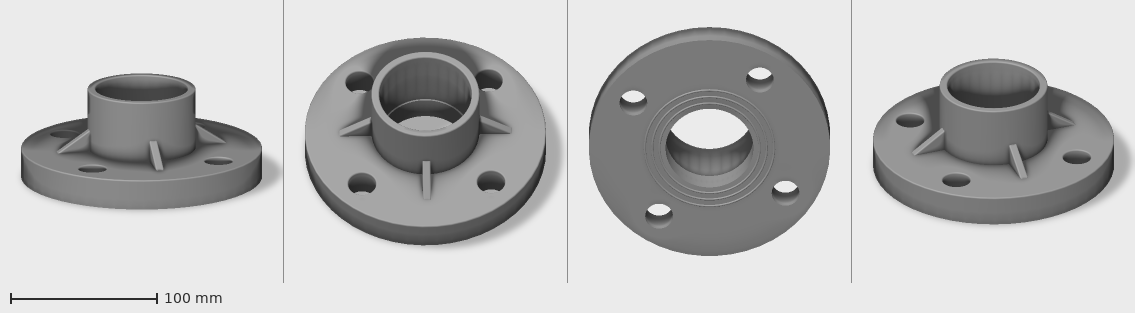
import cadquery as cq

ridge_outer_diameters = (70.0, 80.0, 90.0)
ridge_radius = 0.75

flange_diameter = 165.2
flange_thickness = 20.6
flange_bottom = ridge_radius
flange_top = flange_bottom + flange_thickness
rim_radius = 1.0

overall_height = 63.6
collar_diameter = 74.0
bore_diameter = 60.1
socket_mouth_diameter = 63.3
socket_floor_diameter = 62.5
socket_floor = 18.2

bolt_hole_count = 4
bolt_hole_diameter = 19.0
bolt_circle_radius = 62.5

rib_width = 5.6
rib_reach = 59.3
rib_height = 14.9
rib_edge_radius = 1.0
rib_root_overlap = 1.7


def rounded_disc(diameter, bottom, top):
    """Solid cylinder on Z whose upper rim is rounded."""
    disc = cq.Workplane("XY", origin=(0, 0, bottom)).circle(diameter / 2).extrude(top - bottom)
    return disc.faces(">Z").edges().fillet(rim_radius)


def sealing_ridge(outer_diameter):
    """Torus whose lower half stands proud of the flange underside."""
    centre_radius = outer_diameter / 2 - ridge_radius
    section = cq.Workplane("XZ").center(centre_radius, flange_bottom).circle(ridge_radius)
    return section.revolve(360, (-centre_radius, 0, 0), (-centre_radius, 1, 0))


def rib(angle):
    """Right-triangle rib against the collar, its sloping face rounded along both sides."""
    root = collar_diameter / 2 - rib_root_overlap
    foot = flange_top - rib_root_overlap
    slope = rib_height / (rib_reach - collar_diameter / 2)
    outline = [
        (root, foot),
        (rib_reach + rib_root_overlap / slope, foot),
        (root, flange_top + rib_height + rib_root_overlap * slope),
    ]
    wedge = cq.Workplane("XZ").polyline(outline).close().extrude(rib_width / 2, both=True)
    sloping_face = wedge.faces(cq.selectors.DirectionMinMaxSelector(cq.Vector(slope, 0, 1)))
    return sloping_face.edges("not |Y").fillet(rib_edge_radius).rotate((0, 0, 0), (0, 0, 1), angle)


def socket_cutter():
    """Revolved void: bore, step, slightly tapered socket and rounded-out rim."""
    bore_radius = bore_diameter / 2
    socket_floor_radius = socket_floor_diameter / 2
    mouth_radius = socket_mouth_diameter / 2
    return (
        cq.Workplane("XZ")
        .lineTo(bore_radius, 0)
        .lineTo(bore_radius, socket_floor)
        .lineTo(socket_floor_radius, socket_floor)
        .lineTo(mouth_radius, overall_height - rim_radius)
        .radiusArc((mouth_radius + rim_radius, overall_height), rim_radius)
        .lineTo(0, overall_height)
        .close()
        .revolve(360, (0, 0, 0), (0, 1, 0))
    )


def bolt_hole_cutter(angle):
    """Revolved void of one bolt hole, flared by a rounded rim at the top of the flange."""
    hole_radius = bolt_hole_diameter / 2
    return (
        cq.Workplane("XZ")
        .lineTo(hole_radius, 0)
        .lineTo(hole_radius, flange_top - rim_radius)
        .radiusArc((hole_radius + rim_radius, flange_top), rim_radius)
        .lineTo(0, flange_top)
        .close()
        .revolve(360, (0, 0, 0), (0, 1, 0))
        .translate((bolt_circle_radius, 0, 0))
        .rotate((0, 0, 0), (0, 0, 1), angle)
    )


body = rounded_disc(flange_diameter, flange_bottom, flange_top)
body = body.union(rounded_disc(collar_diameter, flange_bottom, overall_height))
for ridge_outer_diameter in ridge_outer_diameters:
    body = body.union(sealing_ridge(ridge_outer_diameter))

bolt_spacing = 360 / bolt_hole_count
for index in range(bolt_hole_count):
    hole_angle = index * bolt_spacing
    body = body.union(rib(hole_angle + bolt_spacing / 2))
    body = body.cut(bolt_hole_cutter(hole_angle))

result = body.cut(socket_cutter())